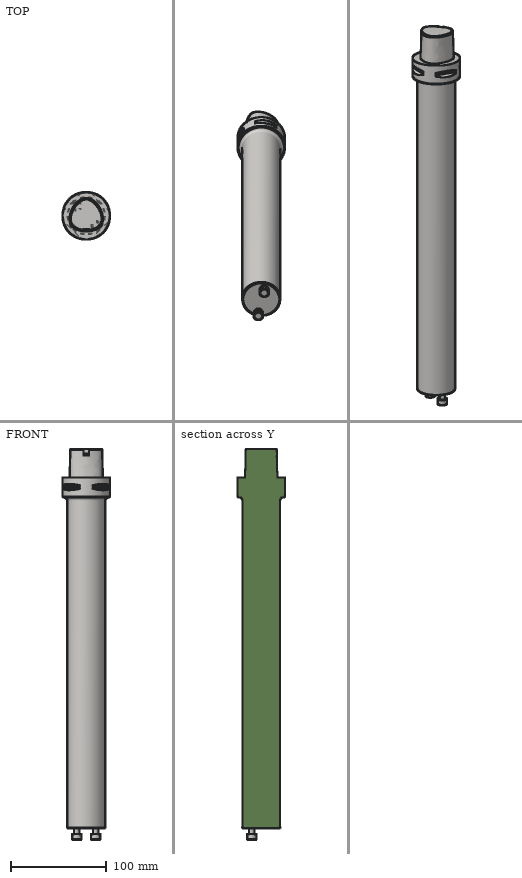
import cadquery as cq
import math

flange_diameter = 50
flange_height = 21.2
flange_chamfer = 1.2

taper_height = 30
taper_base_diameter = 35.1
taper_ratio = 1 / 20
lobe_eccentricity = 1.1
taper_top_chamfer_height = 1.5
taper_top_chamfer_inset = 0.7
lobe_count = 3
curve_points = 48

notch_width = 6
notch_floor_height = 5
notch_depth = 2

groove_floor_height = 2.4
groove_depth = 4.3
groove_flank_angle = 27
groove_length = 23.2
groove_z = -10.1
groove_angles = [45, 135, 225, 315]

total_length = 410
body_diameter = 40
body_chamfer = 1
neck_fillet = 3.3

screw_circle_diameter = 28
screw_count = 2
screw_start_angle = 135
screw_shank_diameter = 6
screw_head_diameter = 10
screw_head_height = 6
screw_overhang = 12
screw_head_chamfer = 0.8

screw_bottom_z = taper_height - total_length
body_bottom_z = screw_bottom_z + screw_overhang
flange_radius = flange_diameter / 2
body_radius = body_diameter / 2


def lobed_wire(mean_radius, z):
    """Closed constant-width curve with three lobes, one of them toward +Y."""

    points = []
    for index in range(curve_points):
        angle = 2 * math.pi * index / curve_points
        support = mean_radius + lobe_eccentricity * math.cos(lobe_count * angle)
        slope = -lobe_count * lobe_eccentricity * math.sin(lobe_count * angle)
        x = support * math.sin(angle) + slope * math.cos(angle)
        y = support * math.cos(angle) - slope * math.sin(angle)
        points.append(cq.Vector(x, y, z))
    return cq.Wire.assembleEdges([cq.Edge.makeSpline(points, periodic=True)])


def make_taper():
    """Tapered three-lobed shank with a chamfered top rim."""

    base_radius = taper_base_diameter / 2
    shoulder_z = taper_height - taper_top_chamfer_height
    shoulder_radius = base_radius - shoulder_z * taper_ratio / 2
    top_radius = shoulder_radius - taper_top_chamfer_inset
    lower = cq.Solid.makeLoft([lobed_wire(base_radius, 0), lobed_wire(shoulder_radius, shoulder_z)])
    upper = cq.Solid.makeLoft([lobed_wire(shoulder_radius, shoulder_z), lobed_wire(top_radius, taper_height)])
    return cq.Workplane(lower).union(cq.Workplane(upper))


def make_turned_body():
    """Flange, neck fillet and long cylinder as one revolved profile."""

    flange_bottom = -flange_height
    return (
        cq.Workplane("XZ")
        .moveTo(0, 0)
        .lineTo(flange_radius, 0)
        .lineTo(flange_radius, flange_bottom + flange_chamfer)
        .lineTo(flange_radius - flange_chamfer, flange_bottom)
        .lineTo(body_radius + neck_fillet, flange_bottom)
        .radiusArc((body_radius, flange_bottom - neck_fillet), -neck_fillet)
        .lineTo(body_radius, body_bottom_z + body_chamfer)
        .lineTo(body_radius - body_chamfer, body_bottom_z)
        .lineTo(0, body_bottom_z)
        .close()
        .revolve(360, (0, 0, 0), (0, 1, 0))
    )


def make_notch():
    """Straight notch in the flat at -Y, its lower end running out at 45 degrees."""

    floor_z = taper_height - notch_floor_height
    flat_y = -(taper_base_diameter / 2 - lobe_eccentricity - taper_height * taper_ratio / 2)
    floor_y = flat_y + notch_depth
    runout = floor_y + flange_radius
    return (
        cq.Workplane("YZ")
        .polyline(
            [
                (floor_y, taper_height),
                (floor_y, floor_z),
                (floor_y - runout, floor_z - runout),
                (floor_y - runout, taper_height),
            ]
        )
        .close()
        .extrude(notch_width / 2, both=True)
    )


def make_groove(angle):
    """Straight trapezoidal groove across the rim, closed at both ends."""

    floor_x = flange_radius - groove_depth
    rim_x = flange_radius
    floor_half = groove_floor_height / 2
    rim_half = floor_half + groove_depth * math.tan(math.radians(groove_flank_angle))
    return (
        cq.Workplane("XZ")
        .polyline(
            [
                (floor_x, groove_z - floor_half),
                (rim_x, groove_z - rim_half),
                (rim_x, groove_z + rim_half),
                (floor_x, groove_z + floor_half),
            ]
        )
        .close()
        .extrude(groove_length / 2, both=True)
        .rotate((0, 0, 0), (0, 0, 1), angle)
    )


def make_screws():
    """Two headed screws hanging from the lower end face, opposite each other."""

    centres = cq.Workplane("XY", origin=(0, 0, screw_bottom_z)).polarArray(
        screw_circle_diameter / 2, screw_start_angle, 360, screw_count, rotate=False
    )
    heads = centres.circle(screw_head_diameter / 2).extrude(screw_head_height)
    heads = heads.faces("<Z").edges().chamfer(screw_head_chamfer)
    shanks = centres.circle(screw_shank_diameter / 2).extrude(screw_overhang)
    return heads.union(shanks)


result = make_turned_body().union(make_taper()).cut(make_notch())
for groove_angle in groove_angles:
    result = result.cut(make_groove(groove_angle))
result = result.union(make_screws())